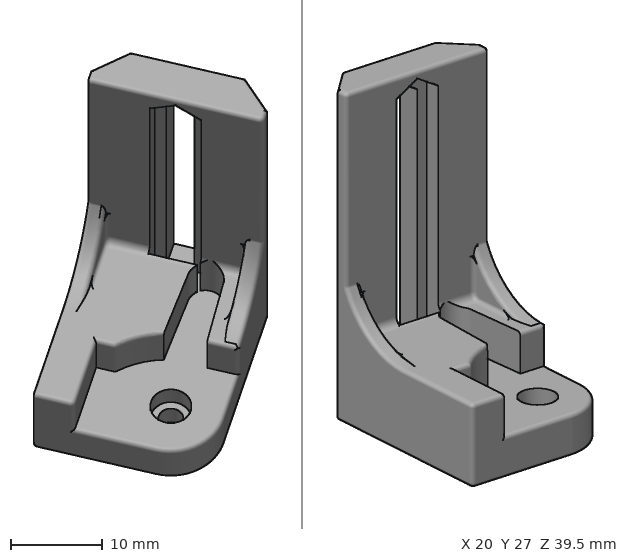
import cadquery as cq
import math

width = 20.0
depth = 27.0
height = 39.5

base_height = 10.0
plate_thickness = 5.0
plate_face = depth - plate_thickness
back_chamfer = 3.5
corner_radius = 6.0
gusset_thickness = 2.1
gusset_radius = 11.02
gusset_foot = 12.0

edge_radius = 0.5
gusset_root_radius = 0.5
plate_root_radius = 1.0

shelf_height = 5.0
shelf_left = 4.75
shelf_step = 8.75
shelf_back = gusset_foot
shelf_arc_start = 6.9
shelf_arc_end = 12.65
shelf_arc_radius = 10.27

hole_x = width - corner_radius
hole_y = corner_radius
hole_diameter = 2.75
counterbore_diameter = 4.5
counterbore_depth = 2.4

slot_mouth_width = 4.8
slot_end_radius = 2.0
slot_end = plate_face
slot_overlap = 1.0

nut_slot_width = 5.85
screw_slot_width = 3.15
nut_slot_depth = 2.0
nut_slot_front_gap = 0.5
plate_slot_bottom = shelf_height
nut_slot_shoulder = 36.9
screw_slot_shoulder = 36.15
roof_angle = math.radians(30)

tolerance = 0.02


def side_profile_body():
    """L-shaped side outline with the gusset curve, run across the full width."""
    centre_z = base_height + gusset_radius
    reach = plate_face - gusset_foot
    gusset_top = centre_z - math.sqrt(gusset_radius**2 - reach**2)
    half_angle = math.asin(reach / gusset_radius) / 2
    arc_middle = (
        gusset_foot + gusset_radius * math.sin(half_angle),
        centre_z - gusset_radius * math.cos(half_angle),
    )
    return (
        cq.Workplane("YZ")
        .lineTo(depth, 0)
        .lineTo(depth, height)
        .lineTo(plate_face, height)
        .lineTo(plate_face, gusset_top)
        .threePointArc(arc_middle, (gusset_foot, base_height))
        .lineTo(0, base_height)
        .close()
        .extrude(width)
    )


def shelf_cutter():
    """Stepped pocket, open to the front and the right."""
    return (
        cq.Workplane("XY", origin=(0, 0, shelf_height))
        .moveTo(shelf_left, 0)
        .lineTo(shelf_left, shelf_step)
        .lineTo(shelf_arc_start, shelf_step)
        .radiusArc((shelf_arc_end, shelf_back), shelf_arc_radius)
        .lineTo(width, shelf_back)
        .lineTo(width, 0)
        .close()
        .extrude(height)
    )


def is_outer_edge(edge):
    """True for the edges to be rounded: all outer ones but those of the back and its chamfers."""
    centre = edge.Center()
    on_side = centre.x < tolerance or centre.x > width - tolerance
    on_end = centre.z < tolerance or centre.z > height - tolerance
    on_front = centre.y < tolerance
    on_plate_face = abs(centre.y - plate_face) < tolerance
    return on_end or on_front or on_plate_face or (on_side and centre.y < plate_face)


def is_shelf_rim(edge):
    """True for the pocket's wall tops in front of the ledge, its wall corner and the shelf's round corner."""
    centre = edge.Center()
    before_ledge = centre.y < shelf_back - tolerance
    on_floor = abs(centre.z - base_height) < tolerance
    on_shelf_corner = abs(centre.z - shelf_height) < tolerance and centre.x > hole_x
    on_wall_corner = abs(centre.x - shelf_arc_start) < tolerance and abs(centre.y - shelf_step) < tolerance
    return before_ledge and (on_floor or on_shelf_corner or on_wall_corner)


def cavity_cutter():
    """Space between the gussets; its rounded lower edges leave the inner corner fillets."""
    inner_width = width - 2 * gusset_thickness
    block = cq.Workplane("XY", origin=(gusset_thickness, 0, base_height)).box(
        inner_width, plate_face, height, centered=False
    )
    block = block.edges("|X and >Y and <Z").fillet(plate_root_radius)
    side_edges = block.faces("<X or >X").edges("(not >Z) and (not <Y)")
    return side_edges.fillet(gusset_root_radius)


def gusset_rim_cutter(side):
    """Waste that rounds the inner curved rim of the left (side = -1) or right (side = 1) gusset."""
    flat_end = width / 2 - gusset_thickness + edge_radius
    inner_end = flat_end - edge_radius - gusset_root_radius
    rounded_radius = gusset_radius + edge_radius
    rim_start = (side * flat_end, gusset_radius)
    rim_end = (side * (flat_end - edge_radius), rounded_radius)
    ring = (
        cq.Workplane("XY")
        .moveTo(side * inner_end, gusset_radius - edge_radius)
        .lineTo(side * flat_end, gusset_radius - edge_radius)
        .lineTo(*rim_start)
        .radiusArc(rim_end, side * edge_radius)
        .lineTo(side * inner_end, rounded_radius)
        .close()
        .revolve(360, (0, 0, 0), (1, 0, 0))
        .translate((width / 2, gusset_foot, base_height + gusset_radius))
    )
    reach = cq.Workplane("XY", origin=(0, gusset_foot, base_height)).box(
        width, plate_face - gusset_foot, gusset_radius, centered=False
    )
    return ring.intersect(reach)


def ledge_rounding_cutter():
    """Waste removed to round the top edge of the ledge behind the shelf on the right."""
    return (
        cq.Workplane("YZ", origin=(hole_x, 0, 0))
        .moveTo(shelf_back, base_height - edge_radius)
        .radiusArc((shelf_back + edge_radius, base_height), edge_radius)
        .lineTo(shelf_back + edge_radius, base_height + edge_radius)
        .lineTo(shelf_back, base_height + edge_radius)
        .close()
        .extrude(width - hole_x)
    )


def tapered_slot_cutter():
    """Slot from the shelf towards the plate, narrowing to a round end."""
    half_mouth = slot_mouth_width / 2
    end_centre = slot_end - slot_end_radius
    length = end_centre - shelf_back
    lean = math.asin(slot_end_radius / math.hypot(half_mouth, length)) - math.atan2(half_mouth, length)
    tangent_x = slot_end_radius * math.cos(lean)
    tangent_y = end_centre - slot_end_radius * math.sin(lean)
    return (
        cq.Workplane("XY", origin=(hole_x, 0, shelf_height))
        .moveTo(-half_mouth, shelf_back - slot_overlap)
        .lineTo(-half_mouth, shelf_back)
        .lineTo(-tangent_x, tangent_y)
        .threePointArc((0, slot_end), (tangent_x, tangent_y))
        .lineTo(half_mouth, shelf_back)
        .lineTo(half_mouth, shelf_back - slot_overlap)
        .close()
        .extrude(base_height - shelf_height + plate_root_radius)
    )


def pointed_slot_cutter(slot_width, shoulder, front, back):
    """Upright slot with a pointed roof, centred on the plate."""
    half = slot_width / 2
    apex = shoulder + half * math.tan(roof_angle)
    return (
        cq.Workplane("XZ", origin=(width / 2, front, 0))
        .moveTo(-half, plate_slot_bottom)
        .lineTo(-half, shoulder)
        .lineTo(0, apex)
        .lineTo(half, shoulder)
        .lineTo(half, plate_slot_bottom)
        .close()
        .extrude(front - back)
    )


body = side_profile_body()
body = body.edges("|Z and >Y").chamfer(back_chamfer)
body = body.edges("|Z and >X and <Y").fillet(corner_radius)
body = body.cut(shelf_cutter())
rounded_edges = [edge for edge in body.edges().vals() if is_outer_edge(edge) or is_shelf_rim(edge)]
body = body.newObject(rounded_edges).fillet(edge_radius)

body = body.cut(cavity_cutter())
for side in (-1, 1):
    body = body.cut(gusset_rim_cutter(side))

body = body.cut(tapered_slot_cutter())
body = body.cut(ledge_rounding_cutter())

nut_slot_front = plate_face - nut_slot_front_gap
nut_slot_back = plate_face + nut_slot_depth
body = body.cut(pointed_slot_cutter(nut_slot_width, nut_slot_shoulder, nut_slot_front, nut_slot_back))
body = body.cut(pointed_slot_cutter(screw_slot_width, screw_slot_shoulder, plate_face, depth))

shelf_plane = cq.Workplane("XY", origin=(hole_x, hole_y, shelf_height))
result = body.copyWorkplane(shelf_plane).cboreHole(hole_diameter, counterbore_diameter, counterbore_depth)